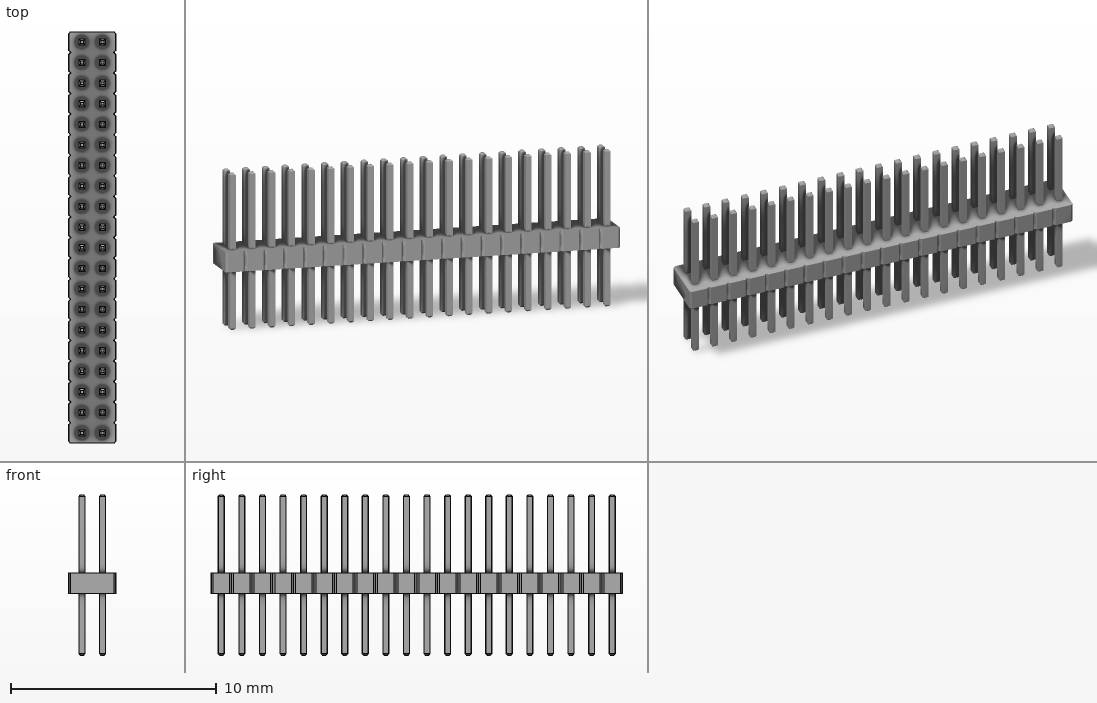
import cadquery as cq

pitch = 1.0
row_count = 2
pins_per_row = 20

body_width = 2.3
body_height = 1.0
body_chamfer = 0.1

pin_width = 0.3
pin_tip_chamfer = 0.08
pin_length_above = 3.8
pin_length_below = 3.0

pin_length = pin_length_below + body_height + pin_length_above


def centred_positions(count):
    """Positions spaced one pitch apart and centred on zero."""
    return [(index - (count - 1) / 2) * pitch for index in range(count)]


def body_segment(y_centre):
    """One block of the plastic body; its chamfers form V-grooves against its neighbours."""
    return (
        cq.Workplane("XY")
        .center(0, y_centre)
        .rect(body_width, pitch)
        .extrude(body_height)
        .edges("|Z")
        .chamfer(body_chamfer)
    )


def make_body():
    """Plastic body resting on Z = 0, made of one segment per pair of pins."""
    body = cq.Workplane("XY")
    for y_centre in centred_positions(pins_per_row):
        body = body.union(body_segment(y_centre))
    return body.clean()


def make_pins():
    """Square pins with chamfered tips at both ends."""
    locations = [
        (x, y)
        for x in centred_positions(row_count)
        for y in centred_positions(pins_per_row)
    ]
    return (
        cq.Workplane("XY", origin=(0, 0, -pin_length_below))
        .pushPoints(locations)
        .rect(pin_width, pin_width)
        .extrude(pin_length)
        .faces("<Z or >Z")
        .chamfer(pin_tip_chamfer)
    )


result = make_body().union(make_pins())